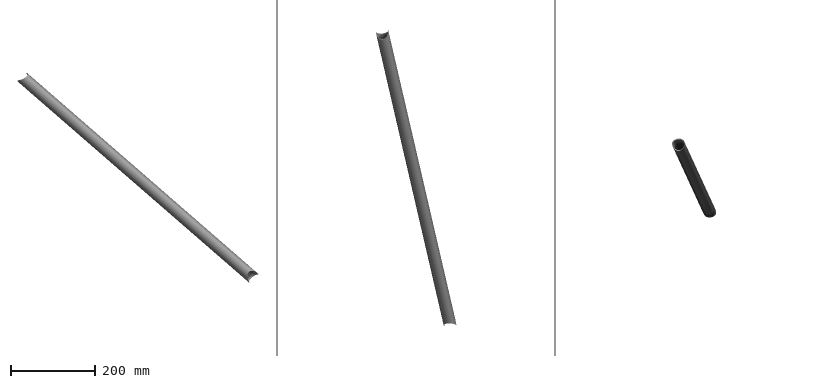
import cadquery as cq
import math

outer_radius = 15.0
wall = 2.0

span_x = 791.3
span_y = 99.65
drop_z = 22.86

cope_radius = outer_radius
left_cope_tilt = -3.0
right_cope_tilt = -13.0
cope_reach = 4 * outer_radius

tube_start = cq.Vector(-span_x / 2, -span_y / 2, drop_z / 2)
tube_end = cq.Vector(span_x / 2, span_y / 2, -drop_z / 2)
tube_axis = tube_end - tube_start


def rod(radius, length, base, direction):
    """Solid cylinder that starts at base and runs along direction."""
    return cq.Workplane(cq.Solid.makeCylinder(radius, length, base, direction))


def tube():
    """Straight round tube along the inclined axis."""
    outside = rod(outer_radius, tube_axis.Length, tube_start, tube_axis)
    bore = rod(outer_radius - wall, tube_axis.Length, tube_start, tube_axis)
    return outside.cut(bore)


def cope_cutter(end_point, tilt):
    """Coping cylinder centred on an end point of the tube axis."""
    angle = math.radians(tilt)
    direction = cq.Vector(0, math.sin(angle), math.cos(angle))
    base = end_point - direction * cope_reach
    return rod(cope_radius, 2 * cope_reach, base, direction)


left_cope = cope_cutter(tube_start, left_cope_tilt)
right_cope = cope_cutter(tube_end, right_cope_tilt)
result = tube().cut(left_cope).cut(right_cope)